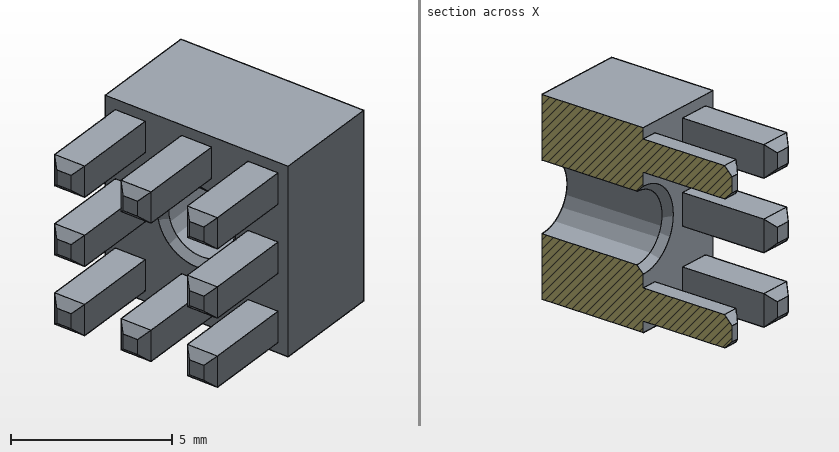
import cadquery as cq

body_width = 7.0
body_depth = 4.0
body_height = 7.0

pin_side = 1.15
pin_length = 3.5
pin_pitch = 2.54
pin_tip_chamfer = 0.3

hole_diameter = 2.5
countersink_diameter = 3.0
countersink_depth = (countersink_diameter - hole_diameter) / 2

pin_face = cq.Workplane("XZ")


def make_body():
    return cq.Workplane("XY").box(
        body_width, body_depth, body_height, centered=(True, False, True)
    )


def make_pin(x, z):
    """Square pin growing toward -Y, with its free end chamfered on all four sides."""
    pin = pin_face.center(x, z).rect(pin_side, pin_side).extrude(pin_length)
    return pin.faces("<Y").chamfer(pin_tip_chamfer)


def add_pins(part):
    for column in (-1, 0, 1):
        for row in (-1, 0, 1):
            is_hole_position = column == 0 and row == 0
            if not is_hole_position:
                part = part.union(make_pin(column * pin_pitch, row * pin_pitch))
    return part


def cut_hole(part):
    bore = pin_face.circle(hole_diameter / 2).extrude(-body_depth)
    countersink = (
        pin_face.circle(countersink_diameter / 2)
        .workplane(offset=-countersink_depth)
        .circle(hole_diameter / 2)
        .loft(ruled=True)
    )
    return part.cut(bore).cut(countersink)


result = cut_hole(add_pins(make_body()))